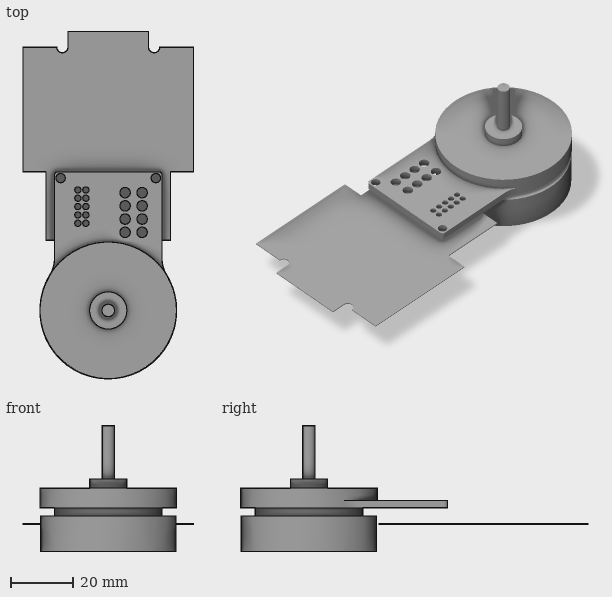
import cadquery as cq
import math

base_diameter = 43.6
base_top = 11.5
neck_diameter = 34.7
neck_top = 14.1
rotor_diameter = 44.1
rotor_top = 20.5
boss_diameter = 12.0
boss_top = 23.5
shaft_diameter = 4.0
shaft_top = 40.6

board_width = 34.7
board_end = 44.6
board_thickness = 2.5
board_corner_radius = 1.1
board_flare_radius = 10.0
mount_hole_diameter = 3.0
mount_hole_inset = 2.0

small_hole_diameter = 2.0
small_grid_center = (-8.5, 33.4)
small_pitch_x = 2.6
small_pitch_y = 2.7
small_columns = 2
small_rows = 5
large_hole_diameter = 3.4
large_grid_center = (8.2, 31.5)
large_pitch_x = 5.5
large_pitch_y = 4.3
large_columns = 2
large_rows = 4

overall_length = 111.8
sheet_bottom = 8.7
sheet_thickness = 0.3
sheet_width = 54.9
sheet_shoulder = 84.8
sheet_end = overall_length - rotor_diameter / 2
tab_width = 26.0
tongue_width = 40.2
tongue_start = 22.6
notch_radius = 1.8


def disc(diameter, bottom, top):
    """Cylinder on the Z axis between two heights."""
    return cq.Workplane("XY", origin=(0, 0, bottom)).circle(diameter / 2).extrude(top - bottom)


def block(width, y_start, y_end, bottom, thickness):
    """Rectangular plate centred on X = 0."""
    return (
        cq.Workplane("XY", origin=(0, 0, bottom))
        .center(0, (y_start + y_end) / 2)
        .rect(width, y_end - y_start)
        .extrude(thickness)
    )


def board_blank():
    """Board outline, flaring into the rotor rim with tangent concave arcs."""
    half_width = board_width / 2
    rotor_radius = rotor_diameter / 2
    flare_x = half_width + board_flare_radius
    center_distance = rotor_radius + board_flare_radius
    flare_y = math.sqrt(center_distance**2 - flare_x**2)
    rim_x = flare_x * rotor_radius / center_distance
    rim_y = flare_y * rotor_radius / center_distance
    mid_angle = math.atan2(flare_y, flare_x) / 2
    mid_x = flare_x - board_flare_radius * math.cos(mid_angle)
    mid_y = flare_y - board_flare_radius * math.sin(mid_angle)
    plate = (
        cq.Workplane("XY", origin=(0, 0, neck_top))
        .moveTo(-half_width, board_end)
        .lineTo(half_width, board_end)
        .lineTo(half_width, flare_y)
        .threePointArc((mid_x, mid_y), (rim_x, rim_y))
        .lineTo(0, 0)
        .lineTo(-rim_x, rim_y)
        .threePointArc((-mid_x, mid_y), (-half_width, flare_y))
        .close()
        .extrude(board_thickness)
    )
    return plate.faces(">Y").edges("|Z").fillet(board_corner_radius)


def grid_points(center, pitch_x, pitch_y, columns, rows):
    """Points of a rectangular grid about its centre."""
    return [
        (
            center[0] + (column - (columns - 1) / 2) * pitch_x,
            center[1] + (row - (rows - 1) / 2) * pitch_y,
        )
        for column in range(columns)
        for row in range(rows)
    ]


def board_holes(points, diameter):
    """Pins that cut round holes through the board."""
    return (
        cq.Workplane("XY", origin=(0, 0, neck_top))
        .pushPoints(points)
        .circle(diameter / 2)
        .extrude(board_thickness)
    )


def make_board():
    """Board with its mounting holes and both groups of terminal holes."""
    mount_x = board_width / 2 - mount_hole_inset
    mount_y = board_end - mount_hole_inset
    mount_points = [(-mount_x, mount_y), (mount_x, mount_y)]
    small_points = grid_points(small_grid_center, small_pitch_x, small_pitch_y, small_columns, small_rows)
    large_points = grid_points(large_grid_center, large_pitch_x, large_pitch_y, large_columns, large_rows)
    return (
        board_blank()
        .cut(board_holes(mount_points, mount_hole_diameter))
        .cut(board_holes(small_points, small_hole_diameter))
        .cut(board_holes(large_points, large_hole_diameter))
    )


def make_motor():
    """Motor body with shaft and board as one solid."""
    return (
        disc(base_diameter, 0, base_top)
        .union(disc(neck_diameter, base_top, neck_top))
        .union(disc(rotor_diameter, neck_top, rotor_top))
        .union(disc(boss_diameter, rotor_top, boss_top))
        .union(disc(shaft_diameter, boss_top, shaft_top))
        .union(make_board())
    )


def make_sheet():
    """Wide sheet with an end tab, a narrower tongue and round notches beside the tab."""
    notch_x = tab_width / 2 + notch_radius
    notches = (
        cq.Workplane("XY", origin=(0, 0, sheet_bottom))
        .pushPoints([(-notch_x, sheet_shoulder), (notch_x, sheet_shoulder)])
        .circle(notch_radius)
        .extrude(sheet_thickness)
    )
    return (
        block(sheet_width, board_end, sheet_shoulder, sheet_bottom, sheet_thickness)
        .union(block(tab_width, sheet_shoulder, sheet_end, sheet_bottom, sheet_thickness))
        .union(block(tongue_width, tongue_start, board_end, sheet_bottom, sheet_thickness))
        .cut(notches)
    )


motor = make_motor()
sheet = make_sheet()
result = cq.Compound.makeCompound([motor.val(), sheet.val()])